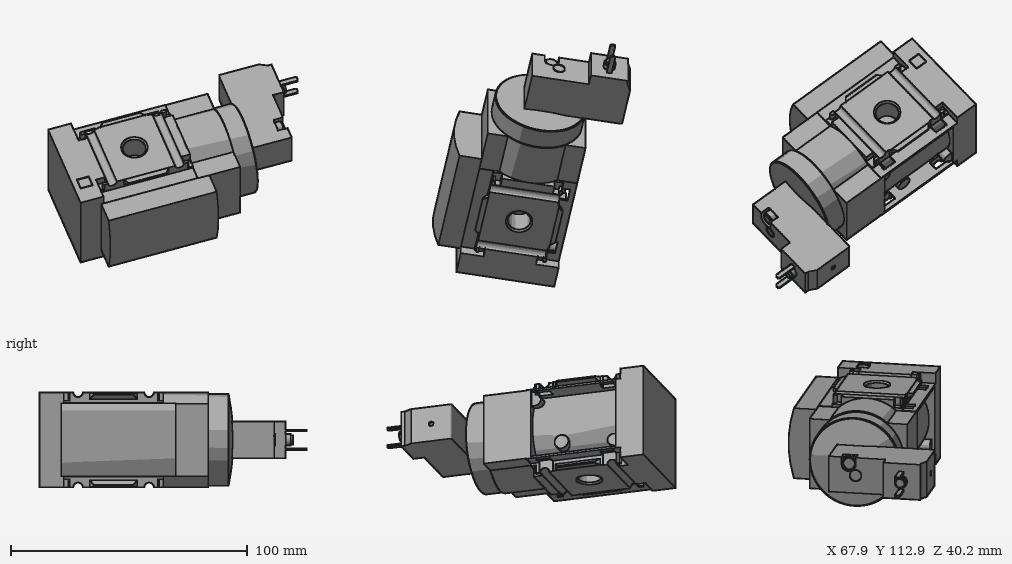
import cadquery as cq



BLOCK_WIDTH = 42.1
BLOCK_HEIGHT = 40.2
SIDE_X = BLOCK_WIDTH / 2
TOP_Z = BLOCK_HEIGHT / 2
FRONT_BLOCK_END = 10.3
MID_END = 52.4
BLOCK_END = 71.4
FLANGE_Z = 15.6
OVERCUT = 1.1

SHOULDER_Z = 15.4
CROWN_HALF_WIDTH = 12.4

PLATE_HALF_WIDTH = 15.1
PLATE_NECK_HALF_WIDTH = 11.3
PLATE_NOTCH_LENGTH = 3.8
PLATE_NOTCH_Z = 16.6
PLATE_START = FRONT_BLOCK_END + PLATE_NOTCH_LENGTH
PLATE_END = MID_END - PLATE_NOTCH_LENGTH
PLATE_CENTRE_Y = (FRONT_BLOCK_END + MID_END) / 2
TAB_WIDTH = 1.4
TAB_LENGTH = 2.0
TAB_ROUND = 0.7
TAB_BEVEL_WIDTH = 0.3
TAB_BEVEL_LENGTH = 0.7
GROOVE_DIAMETER = 4.0
GROOVE_SPACING = 30.0

PORT_DIAMETER = 9.7
PORT_CHAMFER = 0.8
PORT_DEPTH = 11.3

RIB_REACH = 2.1
RIB_ROOT_LENGTH = 20.1
RIB_TIP_LENGTH = 16.8
RIB_ROOT_Z = (17.2, 20.0)
RIB_TIP_Z = (19.0, 19.6)

SLOT_X = (-18.7, -14.7)
SLOT_LENGTH = 6.0

WINDOW_START = 12.4
WINDOW_END = 50.4
WINDOW_HALF_HEIGHT = 14.7
BARREL_DIAMETER = 37.3
PIN_DIAMETER = 6.1
PIN_Y = 37.5
PIN_Z = -8.7
PIN_FACE_X = -18.5
POST_DIAMETER = 5.0
POST_Z = 11.1
POST_INSET = 1.6
POST_FACE_X = -19.8

MARK_WIDTH = 5.0
MARK_LENGTH = 5.3
MARK_X = 11.1
MARK_Y = 5.3
MARK_DEPTH = 0.5

GAUGE_START = 9.3
GAUGE_END = 57.6
GAUGE_HALF_HEIGHT = 15.5
GAUGE_EDGE_X = 30.6
GAUGE_CROWN_X = 33.0

CAP_DIAMETER = 39.0
CAP_WALL_END = 79.7
CAP_EDGE_END = 80.0
CAP_EDGE_RADIUS = 19.1
DOME_TOP = 82.0
DOME_MID_RADIUS = 10.2
DOME_MID_Y = 81.4

COIL_LEFT = -34.9
COIL_RIGHT = 7.2
COIL_STEP_X = -17.2
COIL_BOTTOM = 81.1
COIL_STEP_Y = 99.2
COIL_TOP = 104.1
COIL_HALF_HEIGHT = 7.8
COIL_BEVEL_WIDTH = 1.8
COIL_BEVEL_START = 99.0
COIL_BEVEL_END = 102.4
COIL_ROUND = 0.7
PINHOLE_DIAMETER = 2.0
PINHOLE_Y = 90.1
PINHOLE_DEPTH = 1.1

SCREW_DIAMETER = 6.1
SCREW_X = -1.2
SCREW_SEAT_Y = 95.1
SCREW_TOP_Y = 98.2
SCREW_CHAMFER = 0.6

DISC_DIAMETER = 5.0
DISC_X = -4.3
DISC_HEIGHT = 0.3

CONTACT_X = -25.0
STEM_DIAMETER = 5.0
STEM_END = 106.1
STEM_TIP_DIAMETER = 4.0
STEM_TIP_END = 107.3
BLADE_WIDTH = 2.1
BLADE_THICKNESS = 0.8
BLADE_END = 112.9
BLADE_SPACING = 7.9
BLADE_CHAMFER = 0.5


def box(x_range, y_range, z_range):
    """Box spanning the given ranges."""
    sizes = [high - low for low, high in (x_range, y_range, z_range)]
    corner = (x_range[0], y_range[0], z_range[0])
    return cq.Workplane("XY").box(*sizes, centered=False).translate(corner)


def rod_along_y(diameter, x, z, y_start, y_end):
    return cq.Workplane("XZ", origin=(x, y_start, z)).circle(diameter / 2).extrude(y_start - y_end)


def rod_along_x(diameter, y, z, x_start, x_end):
    return cq.Workplane("YZ", origin=(x_start, y, z)).circle(diameter / 2).extrude(x_end - x_start)


def both_plates(solid):
    """The solid together with its mirror image on the underside."""
    return solid.union(solid.mirror("XY"))


def make_rear_section():
    section = (
        cq.Workplane("XZ", origin=(0, MID_END, 0))
        .moveTo(-SIDE_X, -SHOULDER_Z)
        .lineTo(-SIDE_X, SHOULDER_Z)
        .lineTo(-CROWN_HALF_WIDTH, SHOULDER_Z)
        .threePointArc((0, TOP_Z), (CROWN_HALF_WIDTH, SHOULDER_Z))
        .lineTo(SIDE_X, SHOULDER_Z)
        .lineTo(SIDE_X, -SHOULDER_Z)
        .lineTo(CROWN_HALF_WIDTH, -SHOULDER_Z)
        .threePointArc((0, -TOP_Z), (-CROWN_HALF_WIDTH, -SHOULDER_Z))
        .close()
    )
    return section.extrude(MID_END - BLOCK_END)


def make_window():
    """Opening in the -X side that leaves the barrel, its pin and two corner posts standing."""
    window = box(
        (-SIDE_X - OVERCUT, 0),
        (WINDOW_START, WINDOW_END),
        (-WINDOW_HALF_HEIGHT, WINDOW_HALF_HEIGHT),
    )
    barrel = rod_along_y(BARREL_DIAMETER, 0, 0, WINDOW_START, WINDOW_END)
    window = window.cut(barrel).cut(rod_along_x(PIN_DIAMETER, PIN_Y, PIN_Z, PIN_FACE_X, 0))
    for wall_y, inward, z in ((WINDOW_END, -1, POST_Z), (WINDOW_START, 1, -POST_Z)):
        post_y = wall_y + inward * POST_INSET
        window = window.cut(rod_along_x(POST_DIAMETER, post_y, z, POST_FACE_X, 0))
        web_y = sorted((wall_y, post_y))
        web_z = sorted((z + inward * POST_DIAMETER / 2, -inward * WINDOW_HALF_HEIGHT))
        window = window.cut(box((POST_FACE_X, 0), web_y, web_z))
    return window


def make_tab(x_side, y_side):
    """Small tab standing at a corner of the plate, rounded inside and bevelled outside."""
    inner_x = PLATE_HALF_WIDTH - TAB_WIDTH
    root_y = (PLATE_END - PLATE_START) / 2
    tip_y = root_y + TAB_LENGTH
    tab = (
        cq.Workplane("XY", origin=(0, 0, FLANGE_Z))
        .moveTo(inner_x, root_y)
        .lineTo(inner_x, tip_y - TAB_ROUND)
        .radiusArc((inner_x + TAB_ROUND, tip_y), TAB_ROUND)
        .lineTo(PLATE_HALF_WIDTH - TAB_BEVEL_WIDTH, tip_y)
        .lineTo(PLATE_HALF_WIDTH, tip_y - TAB_BEVEL_LENGTH)
        .lineTo(PLATE_HALF_WIDTH, root_y)
        .close()
        .extrude(TOP_Z - FLANGE_Z)
    )
    if x_side < 0:
        tab = tab.mirror("YZ")
    if y_side < 0:
        tab = tab.mirror("XZ")
    return tab.translate((0, PLATE_CENTRE_Y, 0))


def make_rib():
    """Wedge rib along the +X edge of the plate, tapering to a narrow tip."""
    def outline(x, length, z_range):
        half = length / 2
        points = [
            (x, PLATE_CENTRE_Y + y, z)
            for y, z in (
                (-half, z_range[0]),
                (half, z_range[0]),
                (half, z_range[1]),
                (-half, z_range[1]),
            )
        ]
        return cq.Wire.makePolygon([cq.Vector(*point) for point in points], close=True)

    root = outline(PLATE_HALF_WIDTH, RIB_ROOT_LENGTH, RIB_ROOT_Z)
    tip = outline(PLATE_HALF_WIDTH + RIB_REACH, RIB_TIP_LENGTH, RIB_TIP_Z)
    return cq.Workplane(cq.Solid.makeLoft([root, tip], True))


def make_plate():
    """Top connection plate with tabs, ribs and grooves."""
    plate_z = (FLANGE_Z, TOP_Z)
    plate = box((-PLATE_HALF_WIDTH, PLATE_HALF_WIDTH), (PLATE_START, PLATE_END), plate_z)
    plate = plate.union(
        box(
            (-PLATE_NECK_HALF_WIDTH, PLATE_NECK_HALF_WIDTH),
            (FRONT_BLOCK_END, MID_END),
            plate_z,
        )
    )
    plate = plate.union(
        box(
            (-PLATE_HALF_WIDTH, PLATE_HALF_WIDTH),
            (FRONT_BLOCK_END, MID_END),
            (FLANGE_Z, PLATE_NOTCH_Z),
        )
    )
    for x_side in (-1, 1):
        for y_side in (-1, 1):
            plate = plate.union(make_tab(x_side, y_side))
    rib = make_rib()
    plate = plate.union(rib).union(rib.mirror("YZ"))
    for y_side in (-1, 1):
        groove_y = PLATE_CENTRE_Y + y_side * GROOVE_SPACING / 2
        plate = plate.cut(rod_along_x(GROOVE_DIAMETER, groove_y, TOP_Z, -SIDE_X, SIDE_X))
    return plate


def make_flange_slots():
    """Slots through the top flange at both ends of the plate, nicking its -X edge."""
    slot_z = (WINDOW_HALF_HEIGHT - OVERCUT, TOP_Z + OVERCUT)
    front = box(SLOT_X, (PLATE_START, PLATE_START + SLOT_LENGTH), slot_z)
    rear = box(SLOT_X, (PLATE_END - SLOT_LENGTH, PLATE_END), slot_z)
    return front.union(rear)


def make_port():
    """Blind bore in the top plate with a chamfered mouth."""
    port_outline = cq.Workplane("XY", origin=(0, PLATE_CENTRE_Y, TOP_Z)).circle(PORT_DIAMETER / 2)
    bore = port_outline.extrude(-PORT_DEPTH)
    mouth = cq.Solid.makeCone(
        PORT_DIAMETER / 2 + PORT_CHAMFER,
        PORT_DIAMETER / 2,
        PORT_CHAMFER,
        pnt=cq.Vector(0, PLATE_CENTRE_Y, TOP_Z),
        dir=cq.Vector(0, 0, -1),
    )
    return bore.union(cq.Workplane(mouth))


def make_block():
    side = (-SIDE_X, SIDE_X)
    block = box(side, (0, FRONT_BLOCK_END), (-TOP_Z, TOP_Z))
    block = block.union(box(side, (FRONT_BLOCK_END, MID_END), (-FLANGE_Z, FLANGE_Z)))
    block = block.union(make_rear_section()).union(both_plates(make_plate()))
    block = block.cut(make_window())
    block = block.cut(both_plates(make_flange_slots())).cut(both_plates(make_port()))
    mark = cq.Workplane("XY", origin=(MARK_X, MARK_Y, TOP_Z)).rect(MARK_WIDTH, MARK_LENGTH)
    return block.cut(mark.extrude(-MARK_DEPTH))


def make_gauge():
    return (
        cq.Workplane("XZ", origin=(0, GAUGE_START, 0))
        .moveTo(SIDE_X, -GAUGE_HALF_HEIGHT)
        .lineTo(GAUGE_EDGE_X, -GAUGE_HALF_HEIGHT)
        .threePointArc((GAUGE_CROWN_X, 0), (GAUGE_EDGE_X, GAUGE_HALF_HEIGHT))
        .lineTo(SIDE_X, GAUGE_HALF_HEIGHT)
        .close()
        .extrude(GAUGE_START - GAUGE_END)
    )


def make_cap():
    """Round end cap with a bevelled rim and a shallow dome."""
    return (
        cq.Workplane("XY")
        .moveTo(0, BLOCK_END)
        .lineTo(CAP_DIAMETER / 2, BLOCK_END)
        .lineTo(CAP_DIAMETER / 2, CAP_WALL_END)
        .lineTo(CAP_EDGE_RADIUS, CAP_EDGE_END)
        .threePointArc((DOME_MID_RADIUS, DOME_MID_Y), (0, DOME_TOP))
        .close()
        .revolve(360, (0, 0, 0), (0, 1, 0))
    )


def make_coil():
    coil = (
        cq.Workplane("XY", origin=(0, 0, -COIL_HALF_HEIGHT))
        .moveTo(COIL_LEFT, COIL_BOTTOM)
        .lineTo(COIL_RIGHT, COIL_BOTTOM)
        .lineTo(COIL_RIGHT, COIL_STEP_Y)
        .lineTo(COIL_STEP_X, COIL_STEP_Y)
        .lineTo(COIL_STEP_X, COIL_TOP)
        .lineTo(COIL_LEFT + COIL_BEVEL_WIDTH, COIL_TOP)
        .lineTo(COIL_LEFT + COIL_BEVEL_WIDTH, COIL_BEVEL_END)
        .lineTo(COIL_LEFT, COIL_BEVEL_START)
        .close()
        .extrude(2 * COIL_HALF_HEIGHT)
        .edges("|Z and <X and <Y")
        .fillet(COIL_ROUND)
    )
    coil = coil.cut(
        rod_along_x(PINHOLE_DIAMETER, PINHOLE_Y, 0, COIL_LEFT, COIL_LEFT + PINHOLE_DEPTH)
    )
    disc_end = COIL_STEP_Y + DISC_HEIGHT
    return coil.union(rod_along_y(DISC_DIAMETER, DISC_X, 0, COIL_STEP_Y, disc_end))


def add_fixing_screw(coil):
    """Cut the screw recess, open towards +Z, and set the screw head into it."""
    radius = SCREW_DIAMETER / 2
    screw_z = COIL_HALF_HEIGHT - radius
    bore = rod_along_y(SCREW_DIAMETER, SCREW_X, screw_z, SCREW_SEAT_Y, COIL_STEP_Y)
    opening = box(
        (SCREW_X - radius, SCREW_X + radius),
        (SCREW_SEAT_Y, COIL_STEP_Y),
        (screw_z, COIL_HALF_HEIGHT),
    )
    head = rod_along_y(SCREW_DIAMETER, SCREW_X, screw_z, SCREW_SEAT_Y, SCREW_TOP_Y)
    head = head.faces(">Y").chamfer(SCREW_CHAMFER)
    return coil.cut(bore.union(opening).cut(head))


def make_contacts():
    """Round centre stem and two flat blades."""
    contacts = rod_along_y(STEM_DIAMETER, CONTACT_X, 0, COIL_TOP, STEM_END)
    contacts = contacts.union(
        rod_along_y(STEM_TIP_DIAMETER, CONTACT_X, 0, COIL_TOP, STEM_TIP_END)
    )
    blade = box(
        (CONTACT_X - BLADE_WIDTH / 2, CONTACT_X + BLADE_WIDTH / 2),
        (COIL_TOP, BLADE_END),
        (-BLADE_THICKNESS / 2, BLADE_THICKNESS / 2),
    )
    blade = blade.edges("|Z and >Y").chamfer(BLADE_CHAMFER)
    for side in (-1, 1):
        contacts = contacts.union(blade.translate((0, 0, side * BLADE_SPACING / 2)))
    return contacts


result = (
    make_block()
    .union(make_gauge())
    .union(make_cap())
    .union(add_fixing_screw(make_coil()))
    .union(make_contacts())
)